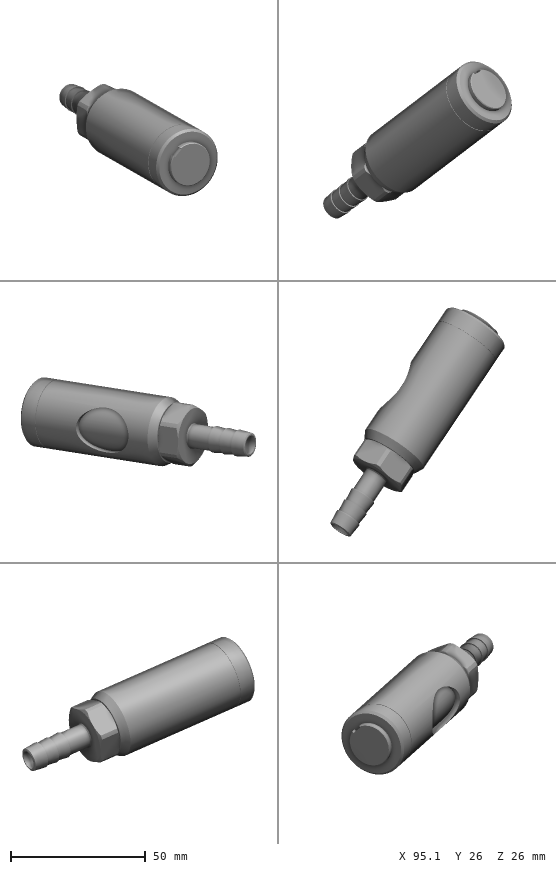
import cadquery as cq
import math

total_length = 95.1
nut_start = 25.1
nut_end = 33.9
body_cone_end = 37.0
seam_start = 86.0
seam_width = 0.3
body_end = 93.1

tail_diameter = 9.0
barb_diameter = 10.0
barbs = [(5.5, 0.4), (10.4, 0), (15.5, 0.4)]
tail_bore_diameter = 7.0
tail_bore_depth = nut_start
tip_diameter = 8.0
tip_chamfer_length = 0.3
tail_collar_diameter = 9.6
tail_collar_length = 0.5

nut_across_flats = 21.1
nut_corner_diameter = 23.5
nut_chamfer_length = 0.8

body_diameter = 26.0
body_cone_diameter = 22.6
body_end_chamfer = 0.9
seam_depth = 0.2

nose_diameter = 16.6
nose_chamfer = 0.3
notch_width = 3.9
notch_floor_radius = 7.3
notch_angle = 45.0

window_center = 56.9
window_half_length = 11.5
window_half_width = 8.6
inner_sleeve_radius = 10.9


def revolve_profile(points):
    """Revolve (x, radius) points about the X axis."""
    outline = cq.Workplane("XY").polyline(points).close()
    return outline.revolve(360, (0, 0, 0), (1, 0, 0))


def disc(start, end, diameter):
    plane = cq.Workplane("YZ", origin=(start, 0, 0))
    return plane.circle(diameter / 2).extrude(end - start)


def make_hose_tail():
    tail_radius = tail_diameter / 2
    barb_radius = barb_diameter / 2
    collar_start = nut_start - tail_collar_length
    points = [(0, 0), (0, tip_diameter / 2), (tip_chamfer_length, tail_radius)]
    for barb_end, land_length in barbs:
        if land_length > 0:
            points.append((barb_end - land_length, barb_radius))
        points += [(barb_end, barb_radius), (barb_end, tail_radius)]
    points += [
        (collar_start, tail_radius),
        (nut_start, tail_collar_diameter / 2),
        (nut_start, 0),
    ]
    return revolve_profile(points)


def make_nut():
    length = nut_end - nut_start
    hexagon_diameter = nut_across_flats / math.cos(math.pi / 6)
    plane = cq.Workplane("YZ", origin=(nut_start, 0, 0))
    hexagon = plane.transformed(rotate=(0, 0, 90)).polygon(6, hexagon_diameter).extrude(length)

    face_radius = nut_across_flats / 2
    corner_radius = nut_corner_diameter / 2
    envelope = revolve_profile([
        (nut_start, 0),
        (nut_start, face_radius),
        (nut_start + nut_chamfer_length, corner_radius),
        (nut_end - nut_chamfer_length, corner_radius),
        (nut_end, face_radius),
        (nut_end, 0),
    ])
    return hexagon.intersect(envelope)


def make_body():
    radius = body_diameter / 2
    seam_radius = radius - seam_depth
    seam_end = seam_start + seam_width
    return revolve_profile([
        (nut_end, 0),
        (nut_end, body_cone_diameter / 2),
        (body_cone_end, radius),
        (seam_start, radius),
        (seam_start, seam_radius),
        (seam_end, seam_radius),
        (seam_end, radius),
        (body_end - body_end_chamfer, radius),
        (body_end, radius - body_end_chamfer),
        (body_end, 0),
    ])


def make_nose():
    nose = disc(body_end, total_length, nose_diameter).faces(">X").chamfer(nose_chamfer)
    length = total_length - body_end
    notch = (
        cq.Workplane("XY", origin=(body_end, 0, notch_floor_radius))
        .rect(length, notch_width)
        .extrude(nose_diameter / 2)
        .translate((length / 2, 0, 0))
        .rotate((0, 0, 0), (1, 0, 0), notch_angle)
    )
    return nose.cut(notch)


def make_window():
    opening = (
        cq.Workplane("XZ", origin=(window_center, 0, 0))
        .ellipse(window_half_length, window_half_width)
        .extrude(-body_diameter)
    )
    inner_sleeve = disc(nut_end, body_end, 2 * inner_sleeve_radius)
    return opening.cut(inner_sleeve)


def make_tail_bore():
    return disc(0, tail_bore_depth, tail_bore_diameter)


result = make_hose_tail().union(make_nut()).union(make_body()).union(make_nose())
result = result.cut(make_window()).cut(make_tail_bore())